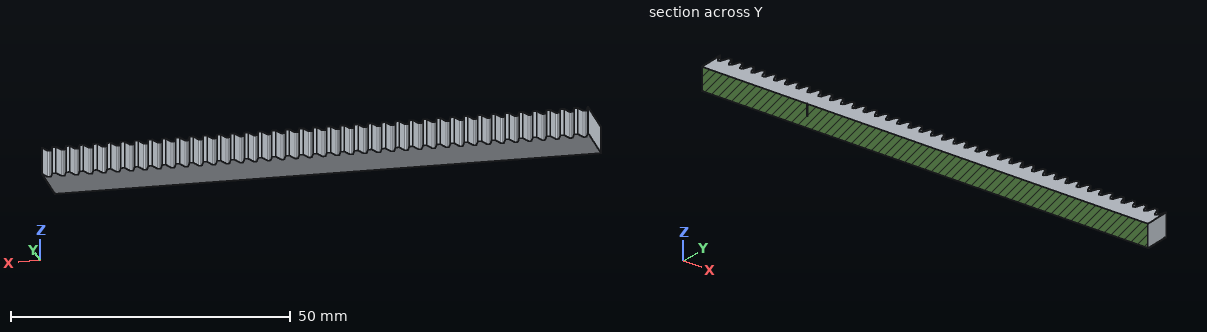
import cadquery as cq
import math

length = 100.0
thickness = 5.0
pitch_line_height = 10.0
module = 0.8
pressure_angle = 20.0
dedendum_factor = 1.25
root_fillet = 0.3

addendum = module
dedendum = dedendum_factor * module
pitch = math.pi * module
total_height = pitch_line_height + addendum
root_height = pitch_line_height - dedendum

flank_slope = math.tan(math.radians(pressure_angle))
tip_half_gap = pitch / 4 + addendum * flank_slope
root_half_gap = pitch / 4 - dedendum * flank_slope

gaps_per_side = math.ceil(length / 2 / pitch)


def make_bar():
    return cq.Workplane("XY").box(length, total_height, thickness, centered=(True, False, False))


def make_gap():
    """Cutter for one tooth gap centred on X = 0, with rounded root corners."""
    gap = (
        cq.Workplane("XY")
        .moveTo(-tip_half_gap, total_height)
        .lineTo(-root_half_gap, root_height)
        .lineTo(root_half_gap, root_height)
        .lineTo(tip_half_gap, total_height)
        .close()
        .extrude(thickness)
    )
    return gap.faces("<Y").edges("|Z").fillet(root_fillet)


def cut_all_gaps(bar):
    gap = make_gap().val()
    gaps = []
    for index in range(-gaps_per_side, gaps_per_side):
        gap_centre = (index + 0.5) * pitch
        gaps.append(gap.translate(cq.Vector(gap_centre, 0, 0)))
    return bar.cut(cq.Compound.makeCompound(gaps))


result = cut_all_gaps(make_bar())